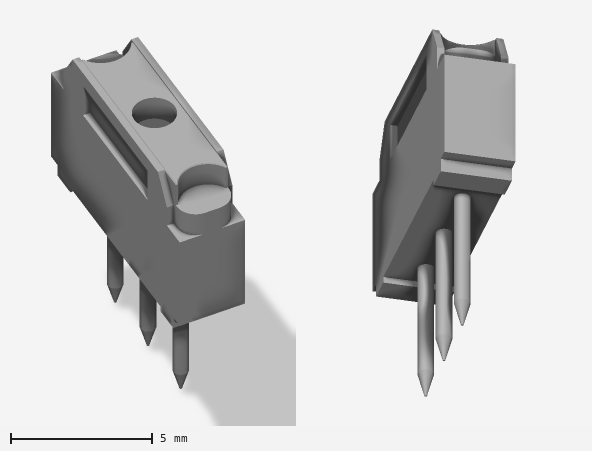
import cadquery as cq

LENGTH = 10.0
WIDTH = 2.6
STEP_Z = 4.5
TOP_Z = 6.5
WALL = 0.26
END_STEP = 1.0
WALL_BEVEL_X = 0.69
WALL_BEVEL_Z = 1.14
UNDERSIDE_Z = 0.23
SHOULDER_Z = 0.51
FOOT_INSET = 0.51
FOOT_LENGTH = 1.0
WINDOW_LENGTH = 5.0
WINDOW_HEIGHT = 1.4

SLIDER_WIDTH = WIDTH - 2 * WALL
SLIDER_LENGTH = LENGTH - END_STEP
SLIDER_X = (LENGTH - SLIDER_LENGTH) / 2
LUG_HEIGHT = 1.0
LUG_CORNER_RADIUS = 0.75
BLOCK_LENGTH = 7.36
BLOCK_TIP_WIDTH = 0.08
BLOCK_HOLLOW = 0.58
BLOCK_CHAMFER = 0.03
HOLE_DIAMETER = 1.6
HOLE_DEPTH = 1.0

PIN_DIAMETER = 0.6
PIN_TIP_DIAMETER = 0.09
PIN_PITCH = 2.54
PIN_TIP_Z = TOP_Z - 11.5
PIN_TIP_LENGTH = 0.91
PIN_COUNT = 3


def make_housing():
    half = LENGTH / 2
    wall_half = half - END_STEP
    foot_outer = half - FOOT_INSET
    foot_inner = foot_outer - FOOT_LENGTH
    right_side = [
        (foot_inner, UNDERSIDE_Z),
        (foot_inner, 0),
        (foot_outer, 0),
        (foot_outer, SHOULDER_Z),
        (half, SHOULDER_Z),
        (half, STEP_Z),
        (wall_half, STEP_Z),
        (wall_half, TOP_Z - WALL_BEVEL_Z),
        (wall_half - WALL_BEVEL_X, TOP_Z),
    ]
    left_side = [(-x, z) for x, z in reversed(right_side)]
    body = cq.Workplane("XZ").polyline(right_side + left_side).close().extrude(WIDTH / 2, both=True)

    channel = cq.Workplane("XY", origin=(0, 0, STEP_Z)).rect(LENGTH, SLIDER_WIDTH).extrude(TOP_Z - STEP_Z)
    windows = cq.Workplane("XY", origin=(0, 0, STEP_Z)).rect(WINDOW_LENGTH, WIDTH).extrude(WINDOW_HEIGHT)
    return body.cut(channel).cut(windows)


def make_slider():
    floor = cq.Workplane("XY", origin=(SLIDER_X, 0, STEP_Z))
    lugs = (
        floor.rect(SLIDER_LENGTH, SLIDER_WIDTH)
        .extrude(LUG_HEIGHT)
        .edges("|Z")
        .fillet(LUG_CORNER_RADIUS)
    )

    end = BLOCK_LENGTH / 2
    side = SLIDER_WIDTH / 2
    tip = side - BLOCK_TIP_WIDTH
    hollow = end - BLOCK_HOLLOW
    block = (
        floor.workplane(offset=LUG_HEIGHT)
        .moveTo(-end, -side)
        .lineTo(end, -side)
        .lineTo(end, -tip)
        .threePointArc((hollow, 0), (end, tip))
        .lineTo(end, side)
        .lineTo(-end, side)
        .lineTo(-end, tip)
        .threePointArc((-hollow, 0), (-end, -tip))
        .close()
        .extrude(TOP_Z - STEP_Z - LUG_HEIGHT)
        .faces(">Z")
        .edges()
        .chamfer(BLOCK_CHAMFER)
    )
    hole = (
        cq.Workplane("XY", origin=(SLIDER_X, 0, TOP_Z - HOLE_DEPTH))
        .circle(HOLE_DIAMETER / 2)
        .extrude(HOLE_DEPTH)
    )
    return lugs.union(block).cut(hole)


def make_pin(x):
    """Round pin hanging from the underside of the housing, tapered to a blunt tip."""
    radius = PIN_DIAMETER / 2
    tip_radius = PIN_TIP_DIAMETER / 2
    return (
        cq.Workplane("XZ", origin=(x, 0, 0))
        .moveTo(0, PIN_TIP_Z)
        .lineTo(tip_radius, PIN_TIP_Z)
        .lineTo(radius, PIN_TIP_Z + PIN_TIP_LENGTH)
        .lineTo(radius, UNDERSIDE_Z)
        .lineTo(0, UNDERSIDE_Z)
        .close()
        .revolve(360, (0, 0), (0, 1))
    )


housing = make_housing()
slider = make_slider()
pins = [make_pin((i - (PIN_COUNT - 1) / 2) * PIN_PITCH) for i in range(PIN_COUNT)]

result = cq.Compound.makeCompound([housing.val(), slider.val(), *[pin.val() for pin in pins]])